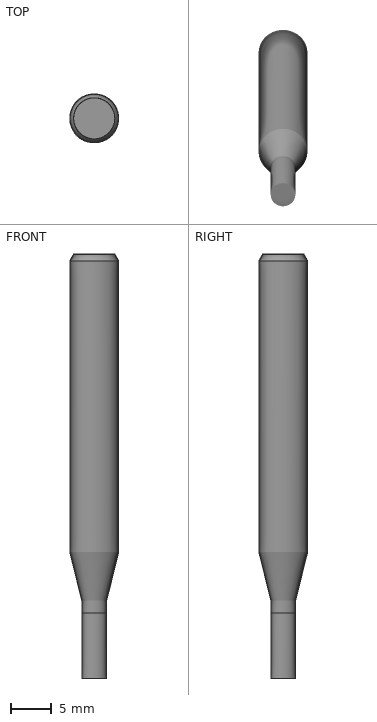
import cadquery as cq

total_length = 52.0
cutter_length = 8.05
neck_length = 1.45
taper_length = 6.0

shank_diameter = 6.0
chamfer_height = 0.85
chamfer_width = 0.45

neck_diameter = 3.0

shank_radius = shank_diameter / 2
neck_radius = neck_diameter / 2
neck_top = cutter_length + neck_length
taper_top = neck_top + taper_length


def make_shank():
    """Chamfered cylindrical shank that tapers down to a short neck."""
    profile = [
        (0, cutter_length),
        (neck_radius, cutter_length),
        (neck_radius, neck_top),
        (shank_radius, taper_top),
        (shank_radius, total_length - chamfer_height),
        (shank_radius - chamfer_width, total_length),
        (0, total_length),
    ]
    axis_start = (0, 0)
    axis_end = (0, 1)
    full_turn = 360
    return cq.Workplane("XZ").polyline(profile).close().revolve(full_turn, axis_start, axis_end)


def make_cutter():
    """Plain cylindrical cutting end below the neck."""
    return cq.Workplane("XY").circle(neck_radius).extrude(cutter_length)


shank = make_shank()
cutter = make_cutter()

result = cq.Compound.makeCompound([shank.val(), cutter.val()])